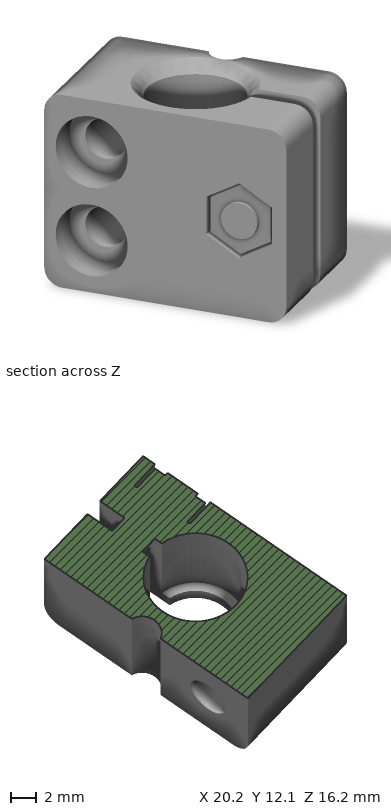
import cadquery as cq

length = 20.2
depth = 12.1
height = 16.2
corner_radius = 1.5
front_y = -depth / 2
back_y = depth / 2

bore_diameter = 8.0
mouth_diameter = 10.0
mouth_depth = (mouth_diameter - bore_diameter) / 2
mouth_angle = 45.0
stop_diameter = 6.5
stop_thickness = 1.0
slot_width = 1.5

groove_radius = 1.5
groove_depth = 1.0

mount_x = -6.15
mount_spacing = 7.41
mount_diameter = 3.4
counterbore_diameter = 6.0
counterbore_depth = 2.8

screw_x = 6.16
screw_diameter = 3.0
pocket_flats = 5.47
pocket_depth = 2.5
nut_flats = 5.0
nut_recess = 0.3


def front_plane(y):
    """Plane at the given Y, facing into the block (+Y), with local X along -X."""
    return cq.Plane(origin=(0, y, 0), xDir=(-1, 0, 0), normal=(0, 1, 0))


def cylinder_y(x, z, diameter, start_y, end_y):
    return (
        cq.Workplane(front_plane(start_y))
        .center(-x, z)
        .circle(diameter / 2)
        .extrude(end_y - start_y)
    )


def hexagon_y(x, flats, start_y, end_y):
    """Hexagonal prism along Y with two corners pointing up and down."""
    return (
        cq.Workplane(front_plane(start_y))
        .center(-x, 0)
        .polygon(6, flats, circumscribed=True)
        .extrude(end_y - start_y)
    )


def cylinder_z(y, diameter, start_z, end_z):
    return (
        cq.Workplane("XY", origin=(0, y, start_z))
        .circle(diameter / 2)
        .extrude(end_z - start_z)
    )


def clamp_bore():
    """Stepped bore with a chamfered mouth at the top."""
    top_z = height / 2
    bore = cylinder_z(0, bore_diameter, -top_z + stop_thickness, top_z)
    stop = cylinder_z(0, stop_diameter, -top_z, top_z)
    mouth = (
        cq.Workplane("XY", origin=(0, 0, top_z))
        .circle(mouth_diameter / 2)
        .extrude(-mouth_depth, taper=mouth_angle)
    )
    return bore.union(stop).union(mouth)


def mounting_hole(z):
    hole = cylinder_y(mount_x, z, mount_diameter, front_y, back_y)
    counterbore = cylinder_y(mount_x, z, counterbore_diameter, front_y, front_y + counterbore_depth)
    return hole.union(counterbore)


block = cq.Workplane("XY").box(length, depth, height).edges("|Y").fillet(corner_radius)
block = block.cut(clamp_bore())

slot = cq.Workplane("XY").box(length / 2, slot_width, height, centered=(False, True, True))
block = block.cut(slot)

groove_y = back_y - groove_depth + groove_radius
block = block.cut(cylinder_z(groove_y, 2 * groove_radius, -height / 2, height / 2))

for side in (-1, 1):
    block = block.cut(mounting_hole(side * mount_spacing / 2))

pocket_floor_y = front_y + pocket_depth
block = block.cut(hexagon_y(screw_x, pocket_flats, front_y, pocket_floor_y))
nut = hexagon_y(screw_x, nut_flats, front_y + nut_recess, pocket_floor_y)

screw = cylinder_y(screw_x, 0, screw_diameter, front_y, slot_width / 2)

result = block.union(nut).union(screw)